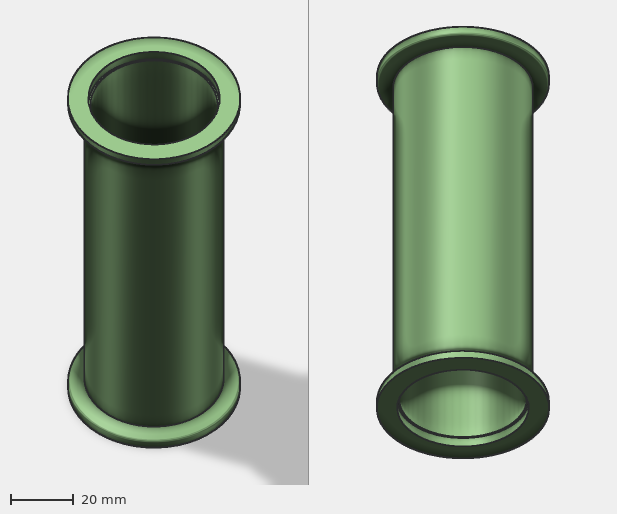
import cadquery as cq
import math

overall_length = 130.0
flange_diameter = 55.0
tube_outer_diameter = 44.6
tube_inner_diameter = 40.5
flange_bore_diameter = 41.9
flange_height = 4.3
socket_start = 3.2
cone_angle = 15.0
rim_round = 0.9

flange_radius = flange_diameter / 2
tube_outer_radius = tube_outer_diameter / 2
bore_radius = flange_bore_diameter / 2
cone_height = (flange_radius - tube_outer_radius) * math.tan(math.radians(cone_angle))
rim_height = flange_height - cone_height
tangent_length = rim_round * math.tan(math.radians((90 - cone_angle) / 2))
cone_start_radius = flange_radius - tangent_length * math.cos(math.radians(cone_angle))
cone_start_height = rim_height + tangent_length * math.sin(math.radians(cone_angle))
tube_length = overall_length - 2 * socket_start


def make_tube():
    """Plain tube that ends inside the sockets of the two flanges."""
    return (
        cq.Workplane("XY")
        .workplane(offset=socket_start)
        .circle(tube_outer_radius)
        .circle(tube_inner_diameter / 2)
        .extrude(tube_length)
    )


def make_flange():
    """Conical clamp flange with its sealing face at Z = 0 and a tube socket above."""
    return (
        cq.Workplane("XZ")
        .moveTo(bore_radius, 0)
        .lineTo(flange_radius, 0)
        .lineTo(flange_radius, rim_height - tangent_length)
        .tangentArcPoint((cone_start_radius, cone_start_height), relative=False)
        .lineTo(tube_outer_radius, flange_height)
        .lineTo(tube_outer_radius, socket_start)
        .lineTo(bore_radius, socket_start)
        .close()
        .revolve(360, (0, 0, 0), (0, 1, 0))
    )


tube = make_tube()
bottom_flange = make_flange()
top_flange = bottom_flange.mirror("XY").translate((0, 0, overall_length))

result = cq.Compound.makeCompound([tube.val(), bottom_flange.val(), top_flange.val()])